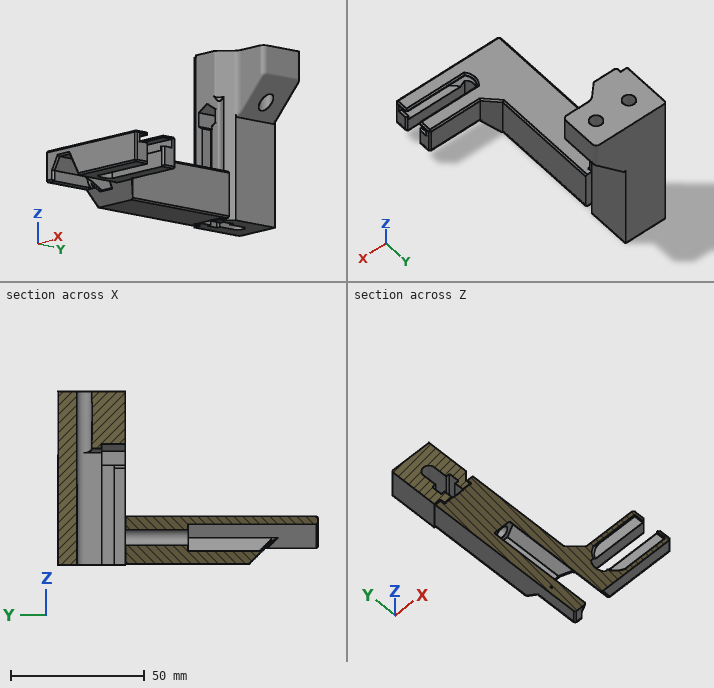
import cadquery as cq
import math

body_width = 20.0
axis_x = body_width / 2
total_height = 65.0
total_depth = 97.5
tolerance = 0.01

shoulder_y = 74.6
tongue_front_y = 72.15
tongue_width = 13.6
tongue_radius = 1.0
relief_bottom_z = 47.3
flange_right_x = 34.6
flange_front_y = 78.4
flange_side_bottom_z = 54.2
flange_corner_radius = 1.95
flange_inner_radius = 4.0
slope_edge_radius = 1.1
back_corner_radius = 1.0
post_hole_diameter = 5.5
post_hole_y = total_depth - body_width / 2
post_hole_spacing = 16.0
bolt_slot_apex_z = 43.7
head_pocket_flats = 9.2
head_pocket_z = 40.1
head_pocket_depth = 9.0
head_channel_width = 9.0
head_channel_lip = 4.3

arm_end_y = 74.3
arm_bottom_z = 0.4
arm_top_z = 18.3
arm_right_x = 50.7
fork_bottom_z = 6.3
gusset = fork_bottom_z - arm_bottom_z
ramp_start_y = body_width + gusset
edge_bevel = 0.7
recess_width = 14.0
bolt_axis_z = 10.3
bolt_hole_diameter = 5.7
nut_pocket_flats = 9.9
nut_pocket_floor_y = 48.75

slot_y = body_width / 2
slot_width = 7.3
slot_end_radius = 5.8
slot_end_centre_x = 26.6
cavity_centre_x = 31.4
cavity_radius = 8.0
cavity_floor_z = 12.6
cavity_ceiling_z = 17.4
ridge_inner_x = 49.4
ridge_top_z = 14.1


def box(x_range, y_range, z_range):
    """Box given by its lower and upper limit on each axis."""
    size = [high - low for low, high in (x_range, y_range, z_range)]
    return cq.Workplane("XY").box(*size, centered=False).translate((x_range[0], y_range[0], z_range[0]))


def prism_along_x(points, x_start, x_end):
    """Prism with an outline in Y and Z."""
    return cq.Workplane("YZ", origin=(x_start, 0, 0)).polyline(points).close().extrude(x_end - x_start)


def prism_along_y(points, y_start, y_end):
    """Prism with an outline in X and Z."""
    return cq.Workplane("XZ", origin=(0, y_start, 0)).polyline(points).close().extrude(y_start - y_end)


def prism_along_z(points, z_start, z_end):
    """Prism with an outline in X and Y."""
    return cq.Workplane("XY", origin=(0, 0, z_start)).polyline(points).close().extrude(z_end - z_start)


def flared_cone(centre_x, bottom_z, bottom_radius, height):
    """Upright cone on the slot centre line that widens upwards at 45 degrees."""
    foot = cq.Vector(centre_x, slot_y, bottom_z)
    return cq.Workplane(cq.Solid.makeCone(bottom_radius, bottom_radius + height, height, foot))


def hexagon(centre_x, centre_z, flats, first_angle):
    """Corners of a hexagon in X and Z; the first one lies at first_angle degrees."""
    corner_radius = flats / math.sqrt(3)
    angles = [math.radians(first_angle + 60 * i) for i in range(6)]
    return [(centre_x + corner_radius * math.cos(a), centre_z + corner_radius * math.sin(a)) for a in angles]


def round_upright_edge(solid, x, y, radius):
    """Fillet the vertical edge that stands at the given X and Y."""
    around_edge = cq.selectors.BoxSelector(
        (x - tolerance, y - tolerance, 0),
        (x + tolerance, y + tolerance, total_height),
    )
    return solid.edges("|Z").edges(around_edge).fillet(radius)


tongue_left_x = axis_x - tongue_width / 2
tongue_right_x = axis_x + tongue_width / 2
tongue_bevel = shoulder_y - tongue_front_y


def bevel_tongue_corner(post):
    """Bevel the right tongue corner in line with the diagonal face, above an inclined lower end."""
    bevel_left_x = tongue_right_x - tongue_bevel
    corner = prism_along_z(
        [
            (bevel_left_x, tongue_front_y),
            (tongue_right_x, shoulder_y),
            (tongue_right_x + tongue_bevel, shoulder_y),
            (tongue_right_x + tongue_bevel, tongue_front_y),
        ],
        0,
        total_height,
    )
    bevel_end_plane = cq.Plane(
        origin=(bevel_left_x, tongue_front_y, relief_bottom_z),
        xDir=(1, 1, 0),
        normal=(1, -1, 1),
    )
    ample = 2 * total_height
    above_bevel_end = cq.Workplane(bevel_end_plane).rect(ample, ample).extrude(ample)
    post = post.cut(corner.intersect(above_bevel_end))
    return round_upright_edge(post, bevel_left_x, tongue_front_y, tongue_radius)


def slope_flange_underside(post):
    """Cut the flange at 45 degrees from its side down to the column, and round the rim."""
    overrun = 1.0
    slope_foot_z = flange_side_bottom_z - (flange_right_x - body_width)
    below_flange = prism_along_y(
        [
            (body_width, slope_foot_z),
            (flange_right_x + overrun, flange_side_bottom_z + overrun),
            (flange_right_x + overrun, 0),
            (body_width, 0),
        ],
        tongue_front_y,
        total_depth,
    )
    post = post.cut(below_flange)
    sloped_face = post.faces(cq.selectors.ParallelDirSelector(cq.Vector(1, 0, -1)))
    return sloped_face.edges("not(|Y and <X)").fillet(slope_edge_radius)


def make_bolt_guide():
    """Bolt slot with a pointed roof, hexagonal head pocket and the head channel below it."""
    half_slot = post_hole_diameter / 2
    slot_shoulder_z = bolt_slot_apex_z - half_slot * math.tan(math.radians(30))
    slot = prism_along_y(
        [
            (axis_x - half_slot, 0),
            (axis_x - half_slot, slot_shoulder_z),
            (axis_x, bolt_slot_apex_z),
            (axis_x + half_slot, slot_shoulder_z),
            (axis_x + half_slot, 0),
        ],
        tongue_front_y,
        post_hole_y,
    )
    pocket_back_y = tongue_front_y + head_pocket_depth
    pocket_corners = hexagon(axis_x, head_pocket_z, head_pocket_flats, 30)
    pocket = prism_along_y(pocket_corners, tongue_front_y, pocket_back_y)
    channel = box(
        (axis_x - head_channel_width / 2, axis_x + head_channel_width / 2),
        (tongue_front_y + head_channel_lip, pocket_back_y),
        (0, head_pocket_z),
    )
    return slot.union(pocket).union(channel)


def make_post():
    diagonal_end_x = tongue_right_x + flange_front_y - shoulder_y
    post = prism_along_z(
        [
            (0, shoulder_y),
            (tongue_left_x, shoulder_y),
            (tongue_left_x, tongue_front_y),
            (tongue_right_x, tongue_front_y),
            (tongue_right_x, shoulder_y),
            (diagonal_end_x, flange_front_y),
            (flange_right_x, flange_front_y),
            (flange_right_x, total_depth),
            (0, total_depth),
        ],
        0,
        total_height,
    )
    for tongue_side_x in (tongue_left_x, tongue_right_x):
        post = round_upright_edge(post, tongue_side_x, tongue_front_y, tongue_radius)
    post = bevel_tongue_corner(post)

    post = round_upright_edge(post, diagonal_end_x, flange_front_y, flange_inner_radius)
    post = round_upright_edge(post, 0, total_depth, back_corner_radius)
    for flange_y in (flange_front_y, total_depth):
        post = round_upright_edge(post, flange_right_x, flange_y, flange_corner_radius)
    post = slope_flange_underside(post)

    upright_holes = (
        cq.Workplane("XY")
        .pushPoints([(axis_x, post_hole_y), (axis_x + post_hole_spacing, post_hole_y)])
        .circle(post_hole_diameter / 2)
        .extrude(total_height)
    )
    return post.cut(upright_holes).cut(make_bolt_guide())


def make_arm_blank():
    """L-shaped arm with a gusset, a ramp up to the thinner fork, and bevelled outer edges."""
    arm = prism_along_z(
        [
            (0, 0),
            (arm_right_x, 0),
            (arm_right_x, body_width),
            (body_width + gusset, body_width),
            (body_width, ramp_start_y),
            (body_width, arm_end_y),
            (0, arm_end_y),
        ],
        arm_bottom_z,
        arm_top_z,
    )
    under_fork = prism_along_x(
        [
            (0, arm_bottom_z),
            (ramp_start_y, arm_bottom_z),
            (body_width, fork_bottom_z),
            (0, fork_bottom_z),
        ],
        0,
        arm_right_x,
    )
    arm = arm.cut(under_fork)

    nearest = cq.selectors.NearestToPointSelector
    rims = arm.faces(">Z or <X or <Y or >X").edges().edges("not >Y")
    fork_back_rim = arm.edges("|X").edges(nearest((arm_right_x, body_width, fork_bottom_z)))
    arm_side_rim = arm.edges("|Y").edges(nearest((body_width, arm_end_y, arm_bottom_z)))
    return rims.add(fork_back_rim).add(arm_side_rim).chamfer(edge_bevel)


def edges_in_plane(solid, normal, distance):
    """Edges that lie in the plane where normal . point = distance."""

    def lies_in_plane(edge):
        points = [edge.positionAt(t) for t in (0, 0.5, 1)]
        return all(abs(point.dot(cq.Vector(*normal)) - distance) < tolerance for point in points)

    return [edge for edge in solid.edges().vals() if lies_in_plane(edge)]


def cut_nut_pocket(arm):
    """Cut the hexagonal pocket along the arm and the notch that opens it in front of the ramp."""
    corners = hexagon(axis_x, bolt_axis_z, nut_pocket_flats, 0)
    right_corner, top_right, top_left, left_corner = corners[:4]
    arm = arm.cut(prism_along_y(corners, 0, nut_pocket_floor_y))

    notch_depth = bolt_axis_z - arm_bottom_z
    notch_right_x = right_corner[0] + notch_depth / math.tan(math.radians(60))
    notch = prism_along_y(
        [top_right, top_left, left_corner, (left_corner[0], arm_bottom_z), (notch_right_x, arm_bottom_z)],
        0,
        ramp_start_y,
    )
    arm_height = arm_top_z - arm_bottom_z
    ahead_of_ramp = prism_along_x(
        [
            (0, arm_bottom_z),
            (ramp_start_y, arm_bottom_z),
            (ramp_start_y - arm_height, arm_top_z),
            (0, arm_top_z),
        ],
        0,
        arm_right_x,
    )
    arm = arm.cut(notch.intersect(ahead_of_ramp))

    front_face = ((0, 1, 0), 0)
    ramp_face = ((0, 1, 1), ramp_start_y + arm_bottom_z)
    for normal, distance in (front_face, ramp_face):
        opening = []
        for edge in edges_in_plane(arm, normal, distance):
            centre = edge.Center()
            within_width = left_corner[0] - tolerance < centre.x < notch_right_x
            within_height = arm_bottom_z + edge_bevel < centre.z < arm_top_z - edge_bevel
            if within_width and within_height:
                opening.append(edge)
        arm = arm.newObject(opening).chamfer(edge_bevel)
    return arm


def make_slot():
    """Fork slot through the full height, with a round closed end and a flared mouth."""
    half_width = slot_width / 2
    mouth_start_x = arm_right_x - edge_bevel
    mouth_half_width = half_width + edge_bevel
    channel = prism_along_z(
        [
            (slot_end_centre_x - slot_end_radius, slot_y - half_width),
            (mouth_start_x, slot_y - half_width),
            (arm_right_x, slot_y - mouth_half_width),
            (arm_right_x, slot_y + mouth_half_width),
            (mouth_start_x, slot_y + half_width),
            (slot_end_centre_x - slot_end_radius, slot_y + half_width),
        ],
        arm_bottom_z,
        arm_top_z,
    )
    round_end = (
        cq.Workplane("XY", origin=(slot_end_centre_x, slot_y, arm_bottom_z))
        .circle(slot_end_radius)
        .extrude(arm_top_z - arm_bottom_z)
    )
    open_part = box((slot_end_centre_x, arm_right_x), (0, body_width), (arm_bottom_z, arm_top_z))
    return channel.intersect(round_end.union(open_part))


def make_slot_bevel():
    """Material removed by the 45 degree bevel around the top rim of the fork slot."""
    bevel_bottom_z = arm_top_z - edge_bevel
    half_bottom = slot_width / 2
    half_top = half_bottom + edge_bevel
    flared_channel = prism_along_x(
        [
            (slot_y - half_bottom, bevel_bottom_z),
            (slot_y + half_bottom, bevel_bottom_z),
            (slot_y + half_top, arm_top_z),
            (slot_y - half_top, arm_top_z),
        ],
        0,
        arm_right_x,
    )
    flared_end = flared_cone(slot_end_centre_x, bevel_bottom_z, slot_end_radius, edge_bevel)
    open_part = box((slot_end_centre_x, arm_right_x), (0, body_width), (bevel_bottom_z, arm_top_z))
    return flared_channel.intersect(flared_end.union(open_part))


def make_cavity():
    """Wide chamber inside the fork: level floor, conical left end and a retaining ridge at the mouth."""
    y_range = (slot_y - cavity_radius, slot_y + cavity_radius)
    z_range = (cavity_floor_z, cavity_ceiling_z)
    straight = box((cavity_centre_x, arm_right_x), y_range, z_range)
    cone = flared_cone(cavity_centre_x, cavity_floor_z, cavity_radius, cavity_ceiling_z - cavity_floor_z)
    conical_end = cone.intersect(box((0, cavity_centre_x), y_range, z_range))
    ridge = box((ridge_inner_x, arm_right_x), y_range, (cavity_floor_z, ridge_top_z))
    return straight.union(conical_end).cut(ridge)


def make_arm():
    arm = cut_nut_pocket(make_arm_blank())
    tongue_recess = box(
        (axis_x - recess_width / 2, axis_x + recess_width / 2),
        (tongue_front_y, arm_end_y),
        (arm_bottom_z, arm_top_z),
    )
    bolt_hole = (
        cq.Workplane("XZ", origin=(axis_x, 0, bolt_axis_z))
        .circle(bolt_hole_diameter / 2)
        .extrude(-arm_end_y)
    )
    arm = arm.cut(tongue_recess).cut(bolt_hole)
    return arm.cut(make_slot()).cut(make_slot_bevel()).cut(make_cavity())


post = make_post()
arm = make_arm()
result = cq.Compound.makeCompound([*post.solids().vals(), *arm.solids().vals()])